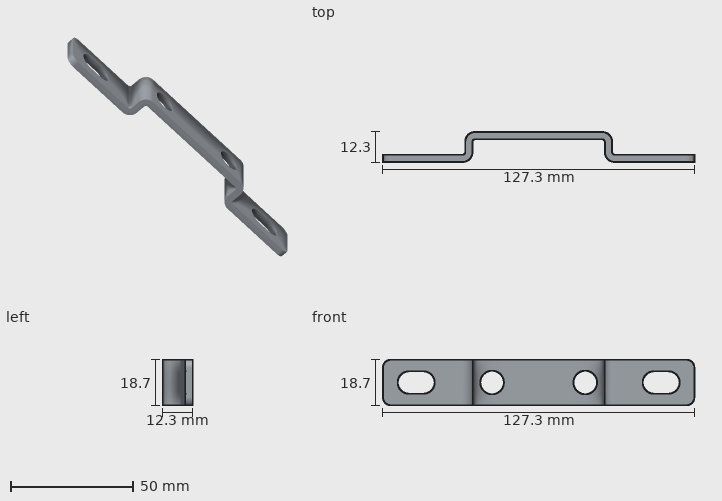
import cadquery as cq

length = 127.3
depth = 12.3
height = 18.7
thickness = 3.0

bridge_width = 60.1
inner_bend_radius = 1.0
outer_bend_radius = inner_bend_radius + thickness

corner_radius = 3.3

slot_spacing = 100.0
slot_length = 15.0
slot_width = 9.0
hole_spacing = 38.0
hole_diameter = 9.5

half_length = length / 2
half_bridge = bridge_width / 2
half_recess = half_bridge - thickness
front = -depth / 2
back = depth / 2


def box_between(x_min, x_max, y_min, y_max):
    """Full-height block spanning the given X and Y limits, centred in Z."""
    block = cq.Workplane("XY").box(x_max - x_min, y_max - y_min, height)
    return block.translate(((x_min + x_max) / 2, (y_min + y_max) / 2, 0))


def round_uprights(body, points, radius):
    """Fillet the Z-parallel edges passing through the given XY points."""
    edges = body.edges(cq.selectors.NearestToPointSelector((*points[0], 0)))
    for point in points[1:]:
        edges = edges.add(body.edges(cq.selectors.NearestToPointSelector((*point, 0))))
    return body.newObject(edges.vals()).fillet(radius)


def make_bent_strip():
    """Flat end tabs at the front joined by webs to a bridge at the back."""
    strip = box_between(-half_bridge, half_bridge, back - thickness, back)
    for side in (-1, 1):
        web_x = sorted((side * half_recess, side * half_bridge))
        tab_x = sorted((side * half_recess, side * half_length))
        strip = strip.union(box_between(*web_x, front, back))
        strip = strip.union(box_between(*tab_x, front, front + thickness))

    inner_corners = []
    outer_corners = []
    for side in (-1, 1):
        inner_corners.append((side * half_recess, back - thickness))
        inner_corners.append((side * half_bridge, front + thickness))
        outer_corners.append((side * half_bridge, back))
        outer_corners.append((side * half_recess, front))
    strip = round_uprights(strip, inner_corners, inner_bend_radius)
    return round_uprights(strip, outer_corners, outer_bend_radius)


def make_hole_cutters():
    """Slots through the end tabs and round holes through the bridge."""
    plane = cq.Workplane("XZ")
    slots = (
        plane.pushPoints([(-slot_spacing / 2, 0), (slot_spacing / 2, 0)])
        .slot2D(slot_length, slot_width)
        .extrude(depth, both=True)
    )
    holes = (
        plane.pushPoints([(-hole_spacing / 2, 0), (hole_spacing / 2, 0)])
        .circle(hole_diameter / 2)
        .extrude(depth, both=True)
    )
    return slots.union(holes)


strip = make_bent_strip()
strip = strip.edges("|Y and (<X or >X)").fillet(corner_radius)
result = strip.cut(make_hole_cutters())